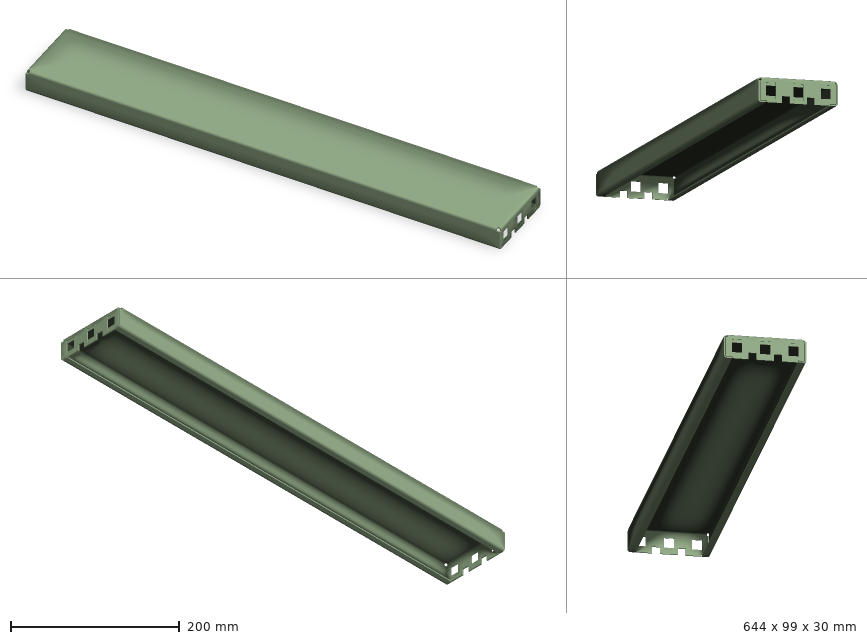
import cadquery as cq

length = 644.0
width = 99.0
height = 30.0

sheet = 1.6
bend_outer = 3.0
bend_inner = bend_outer - sheet

wall_gap = 0.5

return_flange = 9.5

relief_length = 4.5
relief_depth = 4.0

window_width = 12.0
window_height = 12.0
window_pitch = 34.0
window_center_z = 14.0
recess_height = 20.0
recess_depth = sheet / 2

notch_width = 9.5
notch_height = 8.5
notch_offset = 15.5


def standing_block(size_y, size_z, bottom_z, size_x=length):
    """Block centred on X and Y, standing on bottom_z; full part length unless size_x is given."""
    return cq.Workplane("XY").workplane(offset=bottom_z).box(
        size_x, size_y, size_z, centered=(True, True, False)
    )


def folded_channel():
    """Top sheet, side walls and bottom return flanges as one C-shaped profile."""
    outer = standing_block(width, height, 0).edges("|X").fillet(bend_outer)
    inner = standing_block(width - 2 * sheet, height - 2 * sheet, sheet).edges("|X").fillet(bend_inner)
    opening = standing_block(width - 2 * return_flange, 2 * sheet, 0)
    return outer.cut(inner).cut(opening)


def window_block(block_height, size_x):
    """Cutter of one window width, centred on the windows in Z."""
    bottom_z = window_center_z - block_height / 2
    return standing_block(window_width, block_height, bottom_z, size_x)


def end_wall(side):
    """End wall folded down from the top sheet; side is -1 for -X and +1 for +X."""
    wall_x = side * (length - sheet) / 2
    upper_width = width - 2 * (sheet + wall_gap)
    upper_bottom = sheet + wall_gap
    lower_width = width - 2 * (return_flange + wall_gap)
    upper = standing_block(upper_width, height - upper_bottom, upper_bottom, sheet)
    lower = standing_block(lower_width, height, 0, sheet)
    wall = upper.union(lower)
    opening = window_block(window_height, 2 * sheet)
    recess = window_block(recess_height, 2 * recess_depth).translate((side * sheet / 2, 0, 0))
    notch = standing_block(notch_width, notch_height, 0, 2 * sheet)
    for y in (-window_pitch, 0, window_pitch):
        wall = wall.cut(opening.translate((0, y, 0)))
        wall = wall.cut(recess.translate((0, y, 0)))
    for y in (-notch_offset, notch_offset):
        wall = wall.cut(notch.translate((0, y, 0)))
    return wall.translate((wall_x, 0, 0))


def end_bend_envelope():
    """Block whose short top edges are rounded like the end-wall bends."""
    return standing_block(width, height, 0).edges("|Y and >Z").fillet(bend_outer)


def inner_bend(side):
    """Fill between the top sheet and an end wall, rounded on the inside of the bend."""
    block_center_x = side * (length - bend_outer) / 2
    bend_width = width - 2 * bend_outer
    block = standing_block(bend_width, bend_outer, height - bend_outer, bend_outer)
    axis_x = side * (length / 2 - bend_outer)
    hollow = (
        cq.Workplane("XZ", origin=(axis_x, 0, height - bend_outer))
        .circle(bend_inner)
        .extrude(bend_width / 2, both=True)
    )
    return block.translate((block_center_x, 0, 0)).cut(hollow)


def corner_reliefs():
    """Cutters centred on the four top corners, so a quarter of each footprint is removed."""
    cutter = cq.Workplane("XY").box(2 * relief_length, 2 * relief_depth, 2 * relief_depth)
    reliefs = cq.Workplane("XY")
    for x in (-length / 2, length / 2):
        for y in (-width / 2, width / 2):
            reliefs = reliefs.add(cutter.translate((x, y, height)))
    return reliefs.combine()


shelf = folded_channel()
for side in (-1, 1):
    shelf = shelf.union(end_wall(side)).union(inner_bend(side))

result = shelf.intersect(end_bend_envelope()).cut(corner_reliefs())